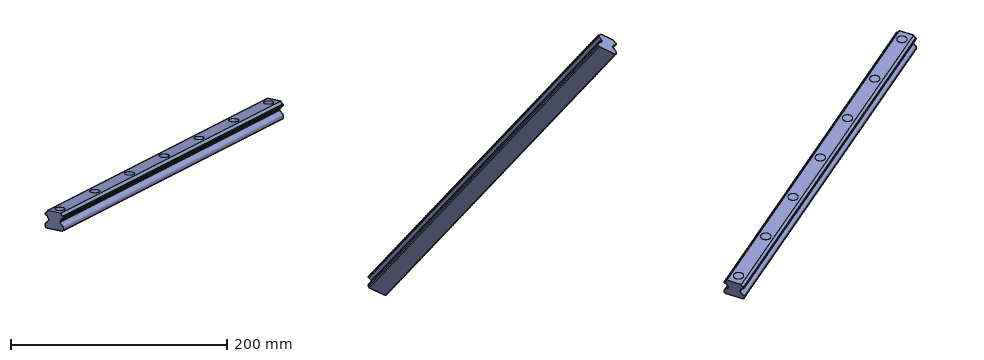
import cadquery as cq
import math

length = 380
width = 20.0
height = 17.5

top_width = 15.0
edge_land_top = 14.5
edge_land_height = 1.0
lip_size = 0.57
lower_groove_span = 2.47
groove_sagitta = 0.57

waist_width = 12.0
base_land_top = 4.0
base_edge_radius = 1.5
bottom_chamfer = 1.0

hole_count = 7
hole_pitch = 60.0
cap_diameter = 9.5
cap_recess = 0.08

half_width = width / 2
half_waist = waist_width / 2
edge_land_bottom = edge_land_top - edge_land_height


def groove_middle(start, end):
    """Deepest point of a concave groove between two points, listed going down the right side."""
    dx = end[0] - start[0]
    dz = end[1] - start[1]
    chord = math.hypot(dx, dz)
    middle_x = (start[0] + end[0]) / 2 + groove_sagitta * dz / chord
    middle_z = (start[1] + end[1]) / 2 - groove_sagitta * dx / chord
    return middle_x, middle_z


def make_right_half():
    """Extrude the right half of the cross-section along Y, centred on the origin."""
    top_corner = (top_width / 2, height)
    upper_lip = (half_width - lip_size, edge_land_top + lip_size)
    lower_groove_top = (half_width - lip_size, edge_land_bottom - lip_size)
    lower_groove_bottom = (
        lower_groove_top[0] - lower_groove_span,
        lower_groove_top[1] - lower_groove_span,
    )
    waist_top = lower_groove_bottom[1] - (lower_groove_bottom[0] - half_waist)
    waist_bottom = base_land_top + (half_width - half_waist)
    profile = (
        cq.Workplane("XZ")
        .moveTo(0, height)
        .lineTo(*top_corner)
        .threePointArc(groove_middle(top_corner, upper_lip), upper_lip)
        .lineTo(half_width, edge_land_top)
        .lineTo(half_width, edge_land_bottom)
        .lineTo(*lower_groove_top)
        .threePointArc(groove_middle(lower_groove_top, lower_groove_bottom), lower_groove_bottom)
        .lineTo(half_waist, waist_top)
        .lineTo(half_waist, waist_bottom)
        .lineTo(half_width, base_land_top)
        .lineTo(half_width, bottom_chamfer)
        .lineTo(half_width - bottom_chamfer, 0)
        .lineTo(0, 0)
        .close()
    )
    half = profile.extrude(length / 2, both=True)
    base_edge = cq.selectors.NearestToPointSelector((half_width, 0, base_land_top))
    return half.edges(base_edge).fillet(base_edge_radius)


def make_cap_recesses():
    """Shallow discs centred along the top face, one for each capped hole."""
    return (
        cq.Workplane("XY", origin=(0, 0, height - cap_recess))
        .rarray(3.8, hole_pitch, 1, hole_count)
        .circle(cap_diameter / 2)
        .extrude(cap_recess)
    )


right_half = make_right_half()
rail = right_half.union(right_half.mirror("YZ"))
result = rail.cut(make_cap_recesses())